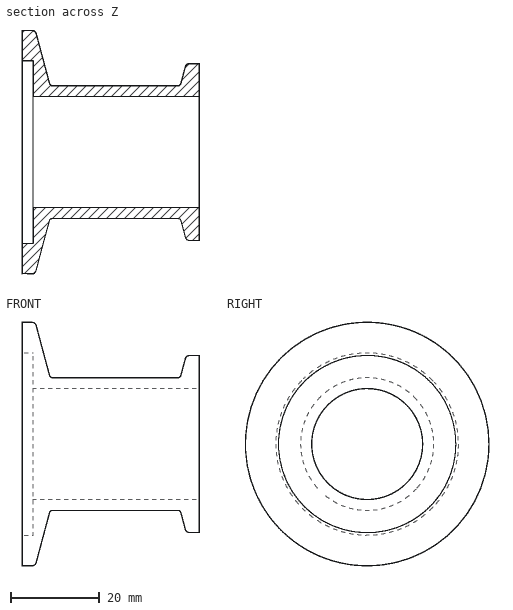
import cadquery as cq
import math

length = 40.0
large_flange_radius = 55.0 / 2
small_flange_radius = 40.0 / 2
tube_radius = 30.0 / 2
bore_radius = 25.0 / 2

rim_width = 3.0
taper_angle = math.radians(15.0)
rim_fillet = 1.0
root_fillet = 0.6

recess_radius = 41.2 / 2
recess_depth = 2.5


def make_flange(outer_radius):
    """Solid clamp flange: face at X = 0, back tapering down to the tube in +X."""
    taper_end = rim_width + (outer_radius - tube_radius) * math.tan(taper_angle)
    profile = (
        cq.Workplane("XY")
        .lineTo(0, outer_radius)
        .lineTo(rim_width, outer_radius)
        .lineTo(taper_end, tube_radius)
        .lineTo(taper_end, 0)
        .close()
    )
    return profile.revolve(360, (0, 0, 0), (1, 0, 0))


def make_cylinder(radius, height):
    """Cylinder on the X axis, starting at X = 0."""
    return cq.Workplane("YZ").circle(radius).extrude(height)


def circle_edges(x_position, radius):
    """Selector for the circular edge of the given radius at the given X."""
    margin = 0.01
    reach = radius + margin
    return cq.selectors.BoxSelector(
        (x_position - margin, -reach, -reach),
        (x_position + margin, reach, reach),
        boundingbox=True,
    )


def round_flange(body, outer_radius, face_x, direction):
    """Round the rim corner and the tube root of one flange."""
    rim_x = face_x + direction * rim_width
    taper_length = (outer_radius - tube_radius) * math.tan(taper_angle)
    root_x = rim_x + direction * taper_length
    body = body.edges(circle_edges(rim_x, outer_radius)).fillet(rim_fillet)
    return body.edges(circle_edges(root_x, tube_radius)).fillet(root_fillet)


large_flange = make_flange(large_flange_radius)
small_flange = make_flange(small_flange_radius).mirror("YZ").translate((length, 0, 0))
body = make_cylinder(tube_radius, length).union(large_flange).union(small_flange)

body = round_flange(body, large_flange_radius, 0, 1)
body = round_flange(body, small_flange_radius, length, -1)

body = body.cut(make_cylinder(bore_radius, length))
result = body.cut(make_cylinder(recess_radius, recess_depth))